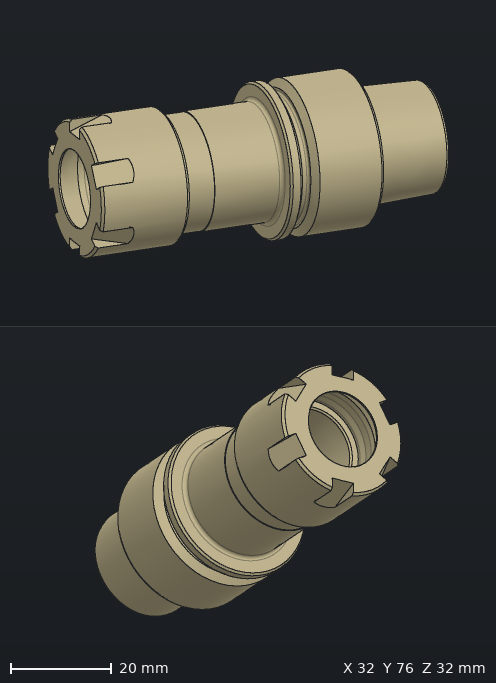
import cadquery as cq
import math

overall_length = 76.0
front_y = -overall_length / 2

nut_length = 19.1
nut_radius = 28.0 / 2
nut_back_chamfer = 0.7
nut_front_chamfer = 0.5
mouth_radius = 16.0 / 2
mouth_land = 0.4
relief_radius = 10.8
relief_start = 5.3
chamber_radius = 21.3 / 2
chamber_start = 6.7
chamber_end = 8.7
thread_radius = 20.5 / 2
thread_start = 10.25

slot_count = 6
slot_width = 4.9
slot_length = 7.5
slot_front_radius = 11.25
slot_overrun = 0.75

nose_start = 10.95
nose_mouth_chamfer = 0.4
collet_seat_radius = 17.0 / 2
collet_half_angle = 8.0
seat_floor_radius = 13.5 / 2
seat_floor_half_angle = 59.0
bore_radius = 5.0 / 2
shaft_front_radius = 24.0 / 2
shaft_radius = 24.3 / 2
shaft_step = 25.1
shaft_fillet = 0.8

flange_radius = 32.0 / 2
flange_start = 39.9
flange_front_chamfer = 0.45
groove_front_rim = 42.0
groove_front_wall = 43.1
groove_back_wall = 44.9
groove_back_rim = 46.1
groove_wall_radius = 14.2
groove_radius = 26.5 / 2
groove_fillet = 0.45
flange_end = 60.1
flange_back_chamfer = 0.6

collar_radius = 24.3 / 2
collar_end = 60.6
taper_start = 60.95
taper_large_radius = 24.0 / 2
taper_small_radius = 22.95 / 2
tip_chamfer = 0.5
tip_radius = 22.5 / 2


def place(radius, distance):
    """Point of a half profile in the XY plane."""
    return (radius, front_y + distance)


def turn(profile):
    """Close a half profile and revolve it around the Y axis."""
    return profile.close().revolve(360, (0, 0, 0), (0, 1, 0))


def cone_length(large_radius, small_radius, half_angle):
    return (large_radius - small_radius) / math.tan(math.radians(half_angle))


def polygon(points):
    return cq.Workplane("XY").polyline([place(*point) for point in points])


def add_lines(profile, points):
    for point in points:
        profile = profile.lineTo(*place(*point))
    return profile


def slot_cutter():
    """Wedge above a sloping floor that runs out at the nut's surface."""
    slope = (nut_radius - slot_front_radius) / slot_length
    end = slot_length + slot_overrun
    end_radius = nut_radius + slope * slot_overrun
    start_radius = slot_front_radius - slope * slot_overrun
    return (
        cq.Workplane("YZ")
        .polyline([
            (front_y - slot_overrun, start_radius),
            (front_y + end, end_radius),
            (front_y - slot_overrun, end_radius),
        ])
        .close()
        .extrude(slot_width / 2, both=True)
    )


def make_nut():
    nut = turn(polygon([
        (mouth_radius, 0),
        (nut_radius - nut_front_chamfer, 0),
        (nut_radius, nut_front_chamfer),
        (nut_radius, nut_length - nut_back_chamfer),
        (nut_radius - nut_back_chamfer, nut_length),
        (thread_radius, nut_length),
        (thread_radius, thread_start),
        (chamber_radius, chamber_end),
        (chamber_radius, chamber_start),
        (relief_radius, relief_start),
        (mouth_radius, mouth_land),
    ]))
    cutter = slot_cutter()
    for index in range(slot_count):
        angle = index * 360 / slot_count
        nut = nut.cut(cutter.rotate((0, 0, 0), (0, 1, 0), angle))
    return nut


def make_holder():
    seat_start = nose_start + nose_mouth_chamfer
    seat_end = seat_start + cone_length(collet_seat_radius, seat_floor_radius, collet_half_angle)
    bore_start = seat_end + cone_length(seat_floor_radius, bore_radius, seat_floor_half_angle)
    fillet_gap = 1 - math.sqrt(0.5)
    shaft_gap = shaft_fillet * fillet_gap
    groove_gap = groove_fillet * fillet_gap

    bore_nose_and_shaft = [
        (bore_radius, overall_length),
        (bore_radius, bore_start),
        (seat_floor_radius, seat_end),
        (collet_seat_radius, seat_start),
        (collet_seat_radius + nose_mouth_chamfer, nose_start),
        (thread_radius, nose_start),
        (thread_radius, nut_length),
        (shaft_front_radius, nut_length),
        (shaft_front_radius, shaft_step),
        (shaft_radius, shaft_step),
        (shaft_radius, flange_start - shaft_fillet),
    ]
    flange_front = [
        (flange_radius - flange_front_chamfer, flange_start),
        (flange_radius, flange_start + flange_front_chamfer),
        (flange_radius, groove_front_rim),
        (groove_wall_radius, groove_front_wall),
        (groove_radius + groove_fillet, groove_front_wall),
    ]
    flange_back_and_taper = [
        (groove_wall_radius, groove_back_wall),
        (flange_radius, groove_back_rim),
        (flange_radius, flange_end - flange_back_chamfer),
        (flange_radius - flange_back_chamfer, flange_end),
        (collar_radius, flange_end),
        (collar_radius, collar_end),
        (taper_large_radius, taper_start),
        (taper_small_radius, overall_length - tip_chamfer),
        (tip_radius, overall_length),
    ]

    profile = polygon(bore_nose_and_shaft).threePointArc(
        place(shaft_radius + shaft_gap, flange_start - shaft_gap),
        place(shaft_radius + shaft_fillet, flange_start),
    )
    profile = add_lines(profile, flange_front).threePointArc(
        place(groove_radius + groove_gap, groove_front_wall + groove_gap),
        place(groove_radius, groove_front_wall + groove_fillet),
    )
    profile = profile.lineTo(*place(groove_radius, groove_back_wall - groove_fillet)).threePointArc(
        place(groove_radius + groove_gap, groove_back_wall - groove_gap),
        place(groove_radius + groove_fillet, groove_back_wall),
    )
    return turn(add_lines(profile, flange_back_and_taper))


nut = make_nut()
holder = make_holder()
result = cq.Compound.makeCompound([nut.val(), holder.val()])